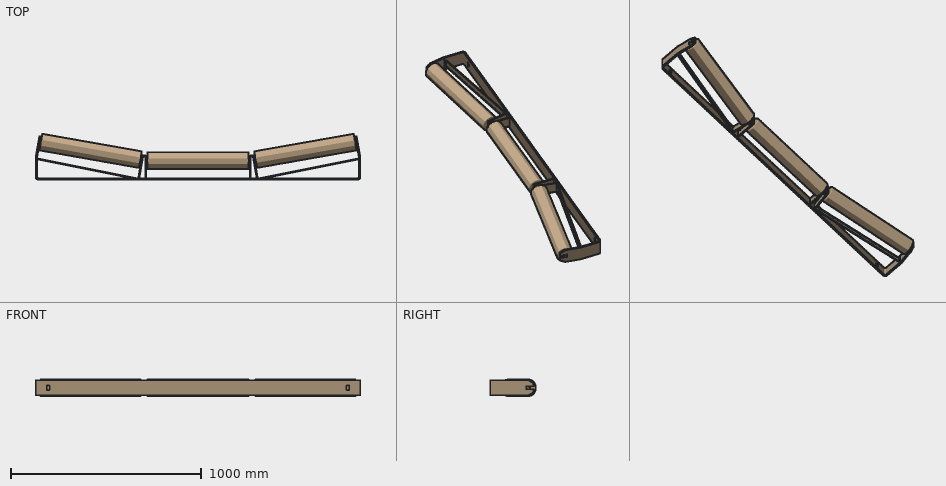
import cadquery as cq
import math


overall_length = 1700.0
overall_height = 240.4
trough_angle = 10.0

roller_diameter = 89.0
roller_length = 530.0
axle_diameter = 20.0
axle_flat_width = 14.0
rim_fillet = 4.0
end_gap = 5.0
center_axis_height = 100.5

strip_width = 80.0
strip_thickness = 8.0
strip_bend_radius = 15.0
end_bend_height = 120.0
end_plate_length = 110.0
tip_cut_length = 26.0
tip_cut_width = 15.0
mount_hole_length = 26.0
mount_hole_width = 16.0
mount_hole_inset = 65.5

bracket_thickness = 6.0
bracket_width = 60.0
bracket_height = 128.0
bracket_bend_radius = 10.0
brace_thickness = 5.0
brace_width = 40.0
brace_foot_gap = 8.0
brace_outer_height = 112.0

half_length = overall_length / 2
roller_radius = roller_diameter / 2
angle = math.radians(trough_angle)
sin_a = math.sin(angle)
cos_a = math.cos(angle)
tan_a = math.tan(angle)


def end_plate_x(height):
    """X of the right end plate's outer face at a height above the bend."""
    return half_length - (height - end_bend_height) * tan_a


rim_center_height = overall_height - rim_fillet
rim_center_offset = strip_thickness + end_gap + rim_fillet
rim_center_x = end_plate_x(rim_center_height) - rim_center_offset / cos_a
axis_drop = roller_radius - rim_fillet
center_setback = roller_length / 2 - rim_fillet
side_center = (
    rim_center_x + axis_drop * sin_a - center_setback * cos_a,
    rim_center_height - axis_drop * cos_a - center_setback * sin_a,
)

support_distance = roller_length / 2 + end_gap
leaning_face_ref = (
    side_center[0] - support_distance * cos_a,
    side_center[1] - support_distance * sin_a,
)


def leaning_face_x(height):
    """X of the leaning leg's roller-side face at a height."""
    return leaning_face_ref[0] - (height - leaning_face_ref[1]) * tan_a


def extruded(points, width):
    """Closed outline in XY, extruded evenly about Z = 0."""
    return cq.Workplane("XY").polyline(points).close().extrude(width / 2, both=True)


def cut_corner_strip(start, tip):
    """Strip outline in YZ running from start to tip, with both tip corners cut off."""
    half_width = strip_width / 2
    tip_half_width = half_width - tip_cut_width
    shoulder = tip - tip_cut_length
    return (
        cq.Workplane("YZ")
        .moveTo(start, -half_width)
        .lineTo(shoulder, -half_width)
        .lineTo(tip, -tip_half_width)
        .lineTo(tip, tip_half_width)
        .lineTo(shoulder, half_width)
        .lineTo(start, half_width)
        .close()
    )


def mirrored_pair(shape):
    """A shape together with its mirror image at the other end of the frame."""
    return shape.union(shape.mirror("YZ"))


def axle_slot(center, tilt):
    """Cutter as wide as the axle flats, open towards the top."""
    across = 2 * (support_distance + 2 * strip_thickness)
    slot = (
        cq.Workplane("XY")
        .box(across, overall_height, axle_flat_width, centered=(True, False, True))
        .translate((0, -axle_diameter / 2, 0))
    )
    return slot.rotate((0, 0, 0), (0, 0, 1), tilt).translate((center[0], center[1], 0))


def make_base():
    """Base strip with bent-up ends and two slotted mounting holes."""
    blank = cq.Workplane("XY").box(
        overall_length, end_bend_height, strip_width, centered=(True, False, True)
    )
    blank = blank.edges("|Z and <Y").fillet(strip_bend_radius)
    hollow = cq.Workplane("XY").box(
        overall_length - 2 * strip_thickness, end_bend_height, strip_width, centered=(True, False, True)
    )
    hollow = hollow.edges("|Z and <Y").fillet(strip_bend_radius - strip_thickness)
    base = blank.cut(hollow.translate((0, strip_thickness, 0)))
    holes = (
        cq.Workplane("XZ")
        .pushPoints([(-half_length + mount_hole_inset, 0), (half_length - mount_hole_inset, 0)])
        .slot2D(mount_hole_length, mount_hole_width, 90)
        .extrude(-strip_thickness)
    )
    return base.cut(holes)


def make_end_plate():
    """Tilted upper part of the right end of the strip."""
    plate = cut_corner_strip(-end_plate_length, end_plate_length).extrude(-strip_thickness)
    plate = plate.rotate((0, 0, 0), (0, 0, 1), trough_angle)
    plate = plate.translate((half_length, end_bend_height, 0))
    above_bend = cq.Workplane("XY").box(
        overall_length, overall_height, strip_width, centered=(True, False, True)
    )
    return plate.intersect(above_bend.translate((0, end_bend_height, 0)))


def make_bracket():
    """Right inner bracket: a bent strip standing open side down on the base."""
    slant = bracket_thickness / cos_a
    low = strip_thickness
    high = bracket_height
    outer = extruded(
        [
            (support_distance, low),
            (support_distance, high),
            (leaning_face_x(high), high),
            (leaning_face_x(low), low),
        ],
        bracket_width,
    )
    outer = outer.edges("|Z and >Y").fillet(bracket_bend_radius)
    under = high - bracket_thickness
    inner = extruded(
        [
            (support_distance + bracket_thickness, low),
            (support_distance + bracket_thickness, under),
            (leaning_face_x(under) - slant, under),
            (leaning_face_x(low) - slant, low),
        ],
        bracket_width,
    )
    inner = inner.edges("|Z and >Y").fillet(bracket_bend_radius - bracket_thickness)
    return outer.cut(inner)


def make_brace():
    """Right diagonal brace from the base to the upturned end."""
    outer_x = half_length - strip_thickness
    foot_x = leaning_face_x(strip_thickness) + brace_foot_gap
    slope = math.atan2(brace_outer_height - strip_thickness, outer_x - foot_x)
    drop = brace_thickness / math.cos(slope)
    return extruded(
        [
            (outer_x, brace_outer_height),
            (foot_x, strip_thickness),
            (foot_x + drop / math.tan(slope), strip_thickness),
            (outer_x, brace_outer_height - drop),
        ],
        brace_width,
    )


def make_frame():
    """Welded frame with axle slots cut through the supports."""
    frame = make_base()
    for part in (make_end_plate(), make_bracket(), make_brace()):
        frame = frame.union(mirrored_pair(part))
    frame = frame.cut(axle_slot((0, center_axis_height), 0))
    side_slot = axle_slot(side_center, trough_angle)
    return frame.cut(side_slot).cut(side_slot.mirror("YZ"))


def make_roller(center, tilt, inner_thickness, outer_thickness):
    """Roller with a flatted axle whose ends lie flush with the outside of its supports."""
    roller = (
        cq.Workplane("YZ", origin=(-roller_length / 2, 0, 0))
        .circle(roller_radius)
        .extrude(roller_length)
        .faces("<X or >X")
        .edges()
        .fillet(rim_fillet)
    )
    left = support_distance + inner_thickness
    right = support_distance + outer_thickness
    flats = cq.Workplane("XY").box(overall_length, axle_diameter, axle_flat_width)
    axle = (
        cq.Workplane("YZ", origin=(-left, 0, 0))
        .circle(axle_diameter / 2)
        .extrude(left + right)
        .intersect(flats)
    )
    roller = roller.union(axle)
    return roller.rotate((0, 0, 0), (0, 0, 1), tilt).translate((center[0], center[1], 0))


frame = make_frame()
center_roller = make_roller((0, center_axis_height), 0, bracket_thickness, bracket_thickness)
right_roller = make_roller(side_center, trough_angle, bracket_thickness, strip_thickness)
left_roller = right_roller.mirror("YZ")
result = cq.Compound.makeCompound(
    [frame.val(), center_roller.val(), right_roller.val(), left_roller.val()]
)